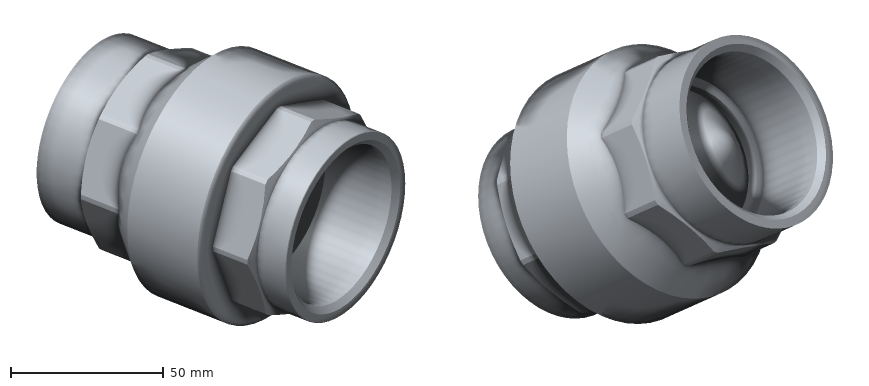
import cadquery as cq
import math


TOTAL_LENGTH = 101.5
LEFT_COLLAR_X = 18.5
BODY_SHOULDER_X = 44.6
BODY_END_X = 74.1
RIGHT_COLLAR_X = 89.9
CONE_BASE_X = 31.5
SEAT_X = 33.0

BARREL_RADIUS = 33.3
BODY_RADIUS = 43.7
BODY_EDGE_LENGTH = 1.0
BODY_EDGE_DEPTH = 2.0
BODY_CONE_ANGLE = 39.6
RIGHT_END_CHAMFER = 0.2

WRENCH_SIDES = 8
WRENCH_FLATS = 68.0
WRENCH_CORNER_RADIUS = 36.4
WRENCH_CHAMFER_ANGLE = 30.0

SOCKET_RADIUS = 28.2
SOCKET_DEPTH = 28.9
SOCKET_CHAMFER = 2.0
SOCKET_FLOOR_ANGLE = 5.0
THROAT_RADIUS = 25.0
THROAT_EDGE_WIDTH = 0.6
THROAT_EDGE_ANGLE = 15.0

CONE_RIM_RADIUS = 24.1
CONE_RIM_CHAMFER = 0.4
CONE_HALF_ANGLE = 50.0
CONE_TIP_EDGE_RADIUS = 5.2


def tan_deg(angle):
    return math.tan(math.radians(angle))


def turned(sketch):
    """Revolve a closed profile, drawn as (x, radius), about the X axis."""
    return sketch.close().revolve(360, (0, 0, 0), (1, 0, 0))


def make_barrel():
    profile = cq.Workplane("XY").polyline([
        (0, 0),
        (0, BARREL_RADIUS),
        (TOTAL_LENGTH - RIGHT_END_CHAMFER, BARREL_RADIUS),
        (TOTAL_LENGTH, BARREL_RADIUS - RIGHT_END_CHAMFER),
        (TOTAL_LENGTH, 0),
    ])
    return turned(profile)


def make_body():
    cone_length = (BODY_RADIUS - BARREL_RADIUS) / tan_deg(BODY_CONE_ANGLE)
    cone_start_x = BODY_SHOULDER_X - cone_length
    profile = (
        cq.Workplane("XY")
        .moveTo(cone_start_x, 0)
        .lineTo(BODY_END_X, 0)
        .lineTo(BODY_END_X, BODY_RADIUS - BODY_EDGE_DEPTH)
        .tangentArcPoint((BODY_END_X - BODY_EDGE_LENGTH, BODY_RADIUS), relative=False)
        .lineTo(BODY_SHOULDER_X, BODY_RADIUS)
        .lineTo(cone_start_x, BARREL_RADIUS)
    )
    return turned(profile)


def make_wrench_collars():
    """One octagonal bar through the body, showing as a collar on either side of it."""
    length = RIGHT_COLLAR_X - LEFT_COLLAR_X
    corner_diameter = WRENCH_FLATS / math.cos(math.pi / WRENCH_SIDES)
    bar = (
        cq.Workplane("YZ", origin=(LEFT_COLLAR_X, 0, 0))
        .polygon(WRENCH_SIDES, corner_diameter)
        .extrude(length)
    )
    chamfer_length = (WRENCH_CORNER_RADIUS - BARREL_RADIUS) * tan_deg(WRENCH_CHAMFER_ANGLE)
    envelope = cq.Workplane("XY").polyline([
        (LEFT_COLLAR_X, 0),
        (LEFT_COLLAR_X, BARREL_RADIUS),
        (LEFT_COLLAR_X + chamfer_length, WRENCH_CORNER_RADIUS),
        (RIGHT_COLLAR_X - chamfer_length, WRENCH_CORNER_RADIUS),
        (RIGHT_COLLAR_X, BARREL_RADIUS),
        (RIGHT_COLLAR_X, 0),
    ])
    return bar.intersect(turned(envelope))


def make_socket():
    """The socket at X = 0, with its slightly dished floor."""
    dish_depth = SOCKET_RADIUS * tan_deg(SOCKET_FLOOR_ANGLE)
    profile = cq.Workplane("XY").polyline([
        (0, 0),
        (0, SOCKET_RADIUS + SOCKET_CHAMFER),
        (SOCKET_CHAMFER, SOCKET_RADIUS),
        (SOCKET_DEPTH, SOCKET_RADIUS),
        (SOCKET_DEPTH + dish_depth, 0),
    ])
    return turned(profile)


def make_throat():
    """The narrower bore from the left socket floor down to the seat."""
    edge_radius = THROAT_RADIUS + THROAT_EDGE_WIDTH
    edge_x = SOCKET_DEPTH + (SOCKET_RADIUS - edge_radius) * tan_deg(SOCKET_FLOOR_ANGLE)
    profile = cq.Workplane("XY").polyline([
        (edge_x, 0),
        (edge_x, edge_radius),
        (edge_x + THROAT_EDGE_WIDTH * tan_deg(THROAT_EDGE_ANGLE), THROAT_RADIUS),
        (SEAT_X, THROAT_RADIUS),
        (SEAT_X, 0),
    ])
    return turned(profile)


def make_closing_cone():
    """The cone standing on the seat on a short rim, with a round tip tangent to its flank."""
    half_angle = math.radians(CONE_HALF_ANGLE)
    base_radius = CONE_RIM_RADIUS - CONE_RIM_CHAMFER
    flank_length = (base_radius - CONE_TIP_EDGE_RADIUS) / math.tan(half_angle)
    tip_edge_x = CONE_BASE_X - flank_length
    tip_radius = CONE_TIP_EDGE_RADIUS / math.cos(half_angle)
    tip_center_x = tip_edge_x + tip_radius * math.sin(half_angle)
    mid_angle = (half_angle + math.pi / 2) / 2
    tip_middle = (
        tip_center_x - tip_radius * math.sin(mid_angle),
        tip_radius * math.cos(mid_angle),
    )
    profile = (
        cq.Workplane("XY")
        .moveTo(SEAT_X, 0)
        .lineTo(SEAT_X, CONE_RIM_RADIUS)
        .lineTo(CONE_BASE_X + CONE_RIM_CHAMFER, CONE_RIM_RADIUS)
        .lineTo(CONE_BASE_X, base_radius)
        .lineTo(tip_edge_x, CONE_TIP_EDGE_RADIUS)
        .threePointArc(tip_middle, (tip_center_x - tip_radius, 0))
    )
    return turned(profile)


left_socket = make_socket()
right_socket = left_socket.rotate((0, 0, 0), (0, 0, 1), 180).translate((TOTAL_LENGTH, 0, 0))

result = (
    make_barrel()
    .union(make_body())
    .union(make_wrench_collars())
    .cut(left_socket)
    .cut(make_throat())
    .cut(right_socket)
    .union(make_closing_cone())
)